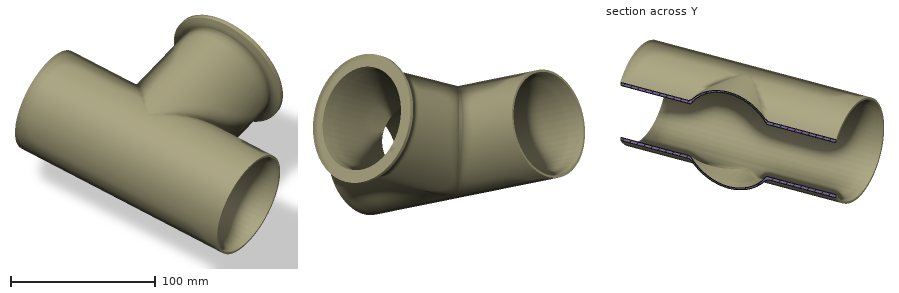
import cadquery as cq
import math

run_length = 171.5
branch_reach = 98.4
tube_diameter = 76.1
bore_diameter = 72.9
tube_radius = tube_diameter / 2

flange_diameter = 90.9
flange_radius = flange_diameter / 2
rim_thickness = 3.0
flange_back_angle = 20.0
rim_edge_radius = 0.7
neck_fillet_radius = 1.0

weld_leg = 1.5


def cylinder_along(direction, start, length, diameter):
    plane = cq.Plane(origin=start, xDir=(0, 0, 1), normal=direction)
    return cq.Workplane(plane).circle(diameter / 2).extrude(length)


def run_cylinder(diameter):
    return cylinder_along((1, 0, 0), (-run_length / 2, 0, 0), run_length, diameter)


def branch_cylinder(diameter):
    return cylinder_along((0, 1, 0), (0, 0, 0), branch_reach, diameter)


def clamp_flange():
    """Revolved flange: cylindrical rim, sloping back and a rounded neck."""
    back_drop = (flange_radius - tube_radius) * math.tan(math.radians(flange_back_angle))
    rim_back = branch_reach - rim_thickness
    neck_end = rim_back - back_drop
    stub_start = branch_reach / 2
    profile = (
        cq.Workplane("XY")
        .moveTo(0, stub_start)
        .lineTo(tube_radius, stub_start)
        .lineTo(tube_radius, neck_end)
        .lineTo(flange_radius, rim_back)
        .lineTo(flange_radius, branch_reach)
        .lineTo(0, branch_reach)
        .close()
    )
    flange = profile.revolve(360, (0, 0, 0), (0, 1, 0))
    flange = flange.faces("%CONE").edges("<Y").fillet(neck_fillet_radius)
    return flange.faces("%CONE").edges(">Y").fillet(rim_edge_radius)


def weld_bead(side):
    """Flat 45-degree bead in the corner at +X (side 1) or -X (side -1).

    An elliptic prism as tall as the tubes runs level across the corner. Only the piece in the quarter
    between the two tube axes is kept, so all but the bead itself lies inside the tubes and it fades
    out at the top and bottom, where the tubes are tangent.
    """
    half_width = (2 * tube_radius + weld_leg) / math.sqrt(2)
    across = cq.Vector(side, -1, 0).normalized()
    plane = cq.Plane(origin=across * -tube_diameter, xDir=(0, 0, 1), normal=across)
    prism = cq.Workplane(plane).ellipse(tube_radius, half_width).extrude(2 * tube_diameter)
    quarter = cq.Workplane("XY").box(run_length, run_length, run_length)
    quarter = quarter.translate((side * run_length / 2, run_length / 2, 0))
    return prism.intersect(quarter)


body = run_cylinder(tube_diameter).union(branch_cylinder(tube_diameter))
for side in (1, -1):
    body = body.union(weld_bead(side))
body = body.union(clamp_flange())
result = body.cut(run_cylinder(bore_diameter)).cut(branch_cylinder(bore_diameter))